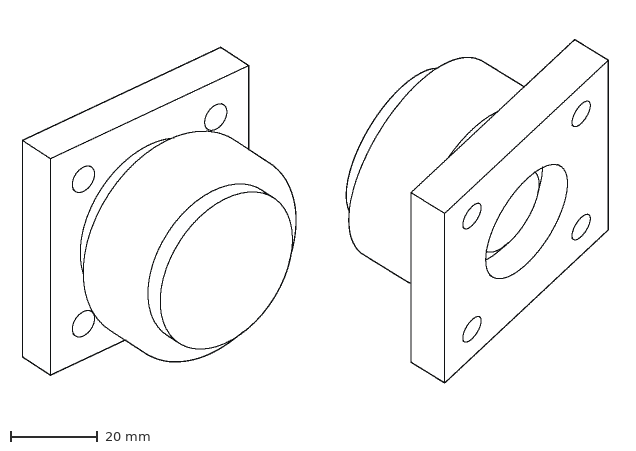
import cadquery as cq
import math

PLATE_SIZE = 60.0
PLATE_THICKNESS = 10.0
BOLT_SPACING = 40.0
BOLT_DIAMETER = 6.7

PIN_DIAMETER = 30.0
PIN_TIP_DIAMETER = 21.5
PIN_TIP_X = 5.0
PIN_TAPER_END_X = 7.45

HUB_DIAMETER = 42.0
TREAD_START_X = 16.0
TREAD_END_X = 33.0
TREAD_DIAMETER = 52.5
TREAD_FILLET = 2.0
TREAD_SHOULDER_DIAMETER = 45.95
TREAD_SHOULDER_ANGLE = 15.0
END_DISC_DIAMETER = 40.0
END_DISC_EDGE_X = 37.4
END_FACE_DIAMETER = 27.6
END_FACE_X = 38.0


def make_plate():
    """Square plate with a pin bore and four bolt holes, lying across the X axis."""
    return (
        cq.Workplane("YZ")
        .rect(PLATE_SIZE, PLATE_SIZE)
        .circle(PIN_DIAMETER / 2)
        .extrude(PLATE_THICKNESS)
        .faces("<X")
        .workplane(origin=(0, 0, 0))
        .rect(BOLT_SPACING, BOLT_SPACING, forConstruction=True)
        .vertices()
        .hole(BOLT_DIAMETER)
    )


def make_disc(start_x, end_x, diameter):
    """Cylinder on the X axis between two stations."""
    return cq.Workplane("YZ", origin=(start_x, 0, 0)).circle(diameter / 2).extrude(end_x - start_x)


def make_cone(start_x, end_x, start_diameter, end_diameter):
    """Truncated cone on the X axis between two stations."""
    return (
        cq.Workplane("YZ", origin=(start_x, 0, 0))
        .circle(start_diameter / 2)
        .workplane(offset=end_x - start_x)
        .circle(end_diameter / 2)
        .loft()
    )


def make_tread():
    """Running ring with rounded corners and a shallow conical shoulder on its outer side."""
    shoulder_height = (TREAD_DIAMETER - TREAD_SHOULDER_DIAMETER) / 2
    shoulder_x = TREAD_END_X - shoulder_height * math.tan(math.radians(TREAD_SHOULDER_ANGLE))
    return (
        make_disc(TREAD_START_X, shoulder_x, TREAD_DIAMETER)
        .union(make_cone(shoulder_x, TREAD_END_X, TREAD_DIAMETER, TREAD_SHOULDER_DIAMETER))
        .edges(cq.selectors.RadiusNthSelector(-1))
        .fillet(TREAD_FILLET)
    )


def make_roller():
    """Stepped roller with a rounded tread and a tapered pin that enters the plate."""
    return (
        make_cone(PIN_TIP_X, PIN_TAPER_END_X, PIN_TIP_DIAMETER, PIN_DIAMETER)
        .union(make_disc(PIN_TAPER_END_X, PLATE_THICKNESS, PIN_DIAMETER))
        .union(make_disc(PLATE_THICKNESS, TREAD_START_X, HUB_DIAMETER))
        .union(make_tread())
        .union(make_disc(TREAD_END_X, END_DISC_EDGE_X, END_DISC_DIAMETER))
        .union(make_cone(END_DISC_EDGE_X, END_FACE_X, END_DISC_DIAMETER, END_FACE_DIAMETER))
    )


plate = make_plate()
roller = make_roller()
result = cq.Compound.makeCompound([plate.val(), roller.val()])